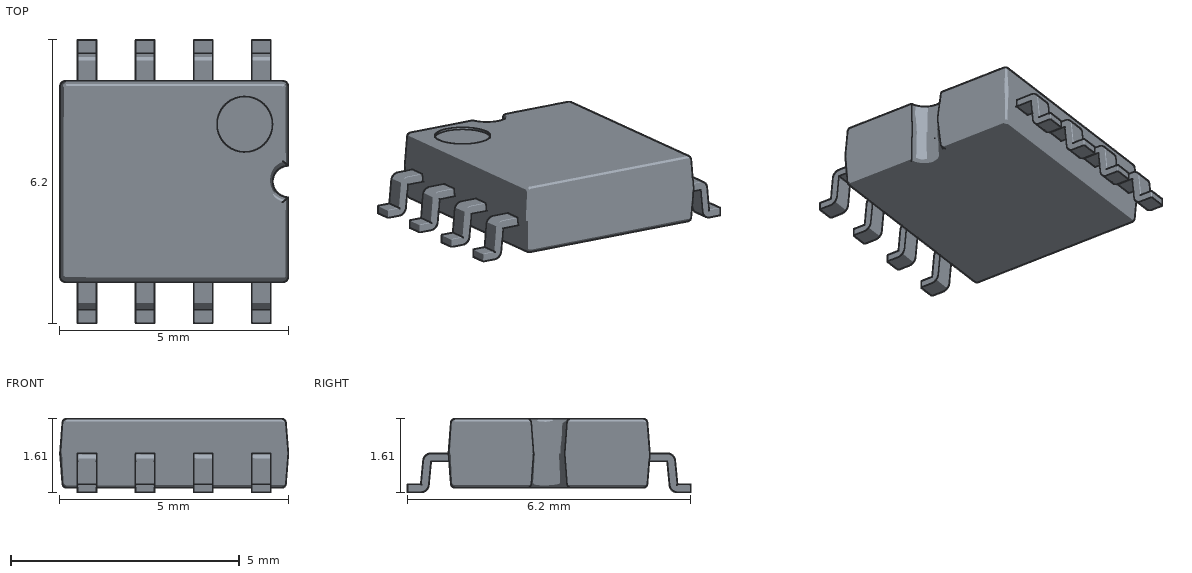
import cadquery as cq
import math

housing_length = 5.0
housing_width = 4.41
overall_height = 1.61
half_height = 0.755
draft_angle = 4.5
corner_radius = 0.13
rim_fillet = 0.1
notch_radius = 0.34
parting_z = overall_height - half_height

marker_radius = 0.61
marker_x = 1.545
marker_y = 1.25
marker_sink = 0.05
marker_thickness = 0.05
marker_bottom_z = overall_height - marker_sink - marker_thickness

lead_count = 4
lead_pitch = 1.27
lead_width = 0.42
lead_thickness = 0.18
lead_span = 6.2
bend_y = 2.58
leg_tilt = math.radians(5.5)
lead_edge_fillet = 0.025


def housing_half(direction):
    """Drafted, notched half of the housing; direction is +1 for the upper half, -1 for the lower."""
    half_x = housing_length / 2
    half_y = housing_width / 2
    corner_arc_inset = corner_radius * (1 - math.sqrt(0.5))
    inner_x = half_x - corner_radius
    inner_y = half_y - corner_radius
    arc_x = half_x - corner_arc_inset
    arc_y = half_y - corner_arc_inset
    outline = (
        cq.Workplane("XY")
        .moveTo(-inner_x, -half_y)
        .lineTo(inner_x, -half_y)
        .threePointArc((arc_x, -arc_y), (half_x, -inner_y))
        .lineTo(half_x, -notch_radius)
        .threePointArc((half_x - notch_radius, 0), (half_x, notch_radius))
        .lineTo(half_x, inner_y)
        .threePointArc((arc_x, arc_y), (inner_x, half_y))
        .lineTo(-inner_x, half_y)
        .threePointArc((-arc_x, arc_y), (-half_x, inner_y))
        .lineTo(-half_x, -inner_y)
        .threePointArc((-arc_x, -arc_y), (-inner_x, -half_y))
        .close()
    )
    half = outline.extrude(half_height, taper=draft_angle)
    half = half.faces(">Z").edges().fillet(rim_fillet)
    if direction < 0:
        half = half.mirror("XY")
    return half.translate((0, 0, parting_z))


def lead_profile():
    """Closed gull-wing outline in the YZ plane, symmetric about Y = 0."""
    t = lead_thickness
    tip_y = lead_span / 2
    tilt_sin = math.sin(leg_tilt)
    tilt_cos = math.cos(leg_tilt)
    shoulder_z = parting_z - t
    leg_length = (shoulder_z - t + t * tilt_sin) / tilt_cos
    ankle_y = bend_y + t * tilt_cos + leg_length * tilt_sin
    arc_angle = (math.pi / 2 + leg_tilt) / 2
    mid_sin = math.sin(arc_angle)
    mid_cos = math.cos(arc_angle)

    shoulder_mid = (bend_y + t * mid_sin, shoulder_z + t * mid_cos)
    shoulder_end = (bend_y + t * tilt_cos, shoulder_z + t * tilt_sin)
    heel_start = (ankle_y, 0)
    heel_mid = (ankle_y - t * mid_sin, t - t * mid_cos)
    heel_end = (ankle_y - t * tilt_cos, t - t * tilt_sin)

    def left(point):
        return (-point[0], point[1])

    return (
        cq.Workplane("YZ")
        .moveTo(-bend_y, parting_z)
        .lineTo(bend_y, parting_z)
        .threePointArc(shoulder_mid, shoulder_end)
        .lineTo(ankle_y, t)
        .lineTo(tip_y, t)
        .lineTo(tip_y, 0)
        .lineTo(*heel_start)
        .threePointArc(heel_mid, heel_end)
        .lineTo(bend_y, shoulder_z)
        .lineTo(-bend_y, shoulder_z)
        .lineTo(*left(heel_end))
        .threePointArc(left(heel_mid), left(heel_start))
        .lineTo(-tip_y, 0)
        .lineTo(-tip_y, t)
        .lineTo(-ankle_y, t)
        .lineTo(*left(shoulder_end))
        .threePointArc(left(shoulder_mid), (-bend_y, parting_z))
        .close()
    )


def upper_side_edges(lead):
    """Edges along both flanks of the lead that border its upward-facing side."""
    return [
        edge
        for face in lead.faces("not |X").vals()
        if face.normalAt().z > 0
        for edge in face.Edges()
        if edge.BoundingBox().xlen < lead_width / 2
    ]


def make_lead(x):
    """One lead through the housing, with a foot on each side."""
    lead = lead_profile().extrude(lead_width / 2, both=True)
    edges = lead.faces("<Y or >Y").edges("|Z or >Z").vals() + upper_side_edges(lead)
    return lead.newObject(edges).fillet(lead_edge_fillet).translate((x, 0, 0))


def marker_cylinder(bottom_z, height):
    return cq.Workplane("XY", origin=(marker_x, marker_y, bottom_z)).circle(marker_radius).extrude(height)


def make_marker():
    return marker_cylinder(marker_bottom_z, marker_thickness)


def make_housing(leads):
    """Both drafted halves as one solid, with the marker recess and the lead passages cut out."""
    body = housing_half(1).union(housing_half(-1))
    body = body.cut(marker_cylinder(marker_bottom_z, marker_sink + marker_thickness))
    for lead in leads:
        body = body.cut(lead)
    return body


first_lead_x = -lead_pitch * (lead_count - 1) / 2
leads = [make_lead(first_lead_x + i * lead_pitch) for i in range(lead_count)]
marker = make_marker()
housing = make_housing(leads)

result = cq.Compound.makeCompound([
    housing.val(),
    marker.val(),
    *[lead.val() for lead in leads],
])